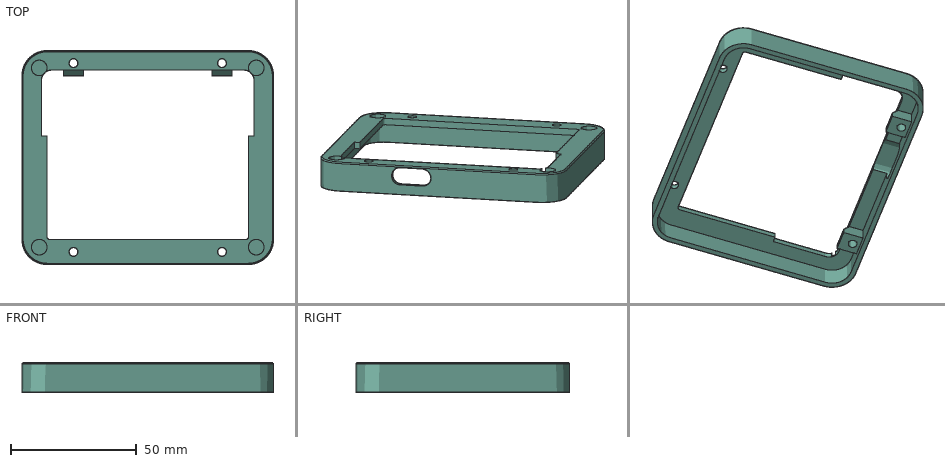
import cadquery as cq

length = 100.0
width = 85.0
height = 11.8
corner_radius = 10.0
top_chamfer = 0.5

wall = 2.0
plate_thickness = 2.6
cavity_height = height - plate_thickness

rim_narrow = 7.8
rim_wide = 10.0
shoulder_y = 8.6
front_corner_radius = 1.0
back_corner_radius = 4.0

pocket_diameter = 6.2
pocket_depth = 2.0
pocket_inset = 6.9
screw_diameter = 3.4
screw_x = 29.5
screw_inset = 5.0

tab_width = 8.0
tab_reach = 10.1
tab_tip_height = 2.4
tab_bottom = 3.8

port_x = 11.0
port_width = 16.0
port_height = 7.0
port_center_z = 7.5


def body():
    block = (
        cq.Workplane("XY")
        .rect(length, width)
        .extrude(height)
        .edges("|Z")
        .fillet(corner_radius)
        .faces(">Z")
        .chamfer(top_chamfer)
    )
    cavity = (
        cq.Workplane("XY")
        .rect(length - 2 * wall, width - 2 * wall)
        .extrude(cavity_height)
        .edges("|Z")
        .fillet(corner_radius - wall)
    )
    return block.cut(cavity)


def window():
    back_y = width / 2 - rim_narrow
    front_y = -width / 2 + rim_wide
    back_half = length / 2 - rim_narrow
    front_half = length / 2 - rim_wide
    back = (
        cq.Workplane("XY")
        .rect(2 * back_half, 2 * (back_y - shoulder_y))
        .extrude(height)
        .edges("|Z")
        .fillet(back_corner_radius)
        .translate((0, shoulder_y, 0))
        .intersect(
            cq.Workplane("XY")
            .box(length, width, height, centered=(True, False, False))
            .translate((0, shoulder_y, 0))
        )
    )
    front = (
        cq.Workplane("XY")
        .box(2 * front_half, shoulder_y - front_y, height, centered=(True, False, False))
        .translate((0, front_y, 0))
        .edges("|Z and <Y")
        .fillet(front_corner_radius)
    )
    return back.union(front)


def plate_holes(x, y, diameter, depth):
    return (
        cq.Workplane("XY")
        .workplane(offset=height - depth)
        .rect(2 * x, 2 * y, forConstruction=True)
        .vertices()
        .circle(diameter / 2)
        .extrude(depth)
    )


def snap_tab(x):
    root_y = width / 2 - wall
    tip_y = width / 2 - tab_reach
    tip_top = tab_bottom + tab_tip_height
    return (
        cq.Workplane("YZ")
        .moveTo(root_y, tab_bottom)
        .lineTo(tip_y, tab_bottom)
        .lineTo(tip_y, tip_top)
        .lineTo(width / 2 - rim_narrow, cavity_height)
        .lineTo(root_y, cavity_height)
        .close()
        .extrude(tab_width / 2, both=True)
        .translate((x, 0, 0))
    )


def cable_port():
    return (
        cq.Workplane("XZ", origin=(port_x, width / 2, port_center_z))
        .slot2D(port_width, port_height)
        .extrude(rim_wide)
    )


result = body().cut(window()).cut(cable_port())
for side in (-1, 1):
    result = result.union(snap_tab(side * screw_x))

result = result.cut(plate_holes(screw_x, width / 2 - screw_inset, screw_diameter, height))
result = result.cut(
    plate_holes(length / 2 - pocket_inset, width / 2 - pocket_inset, pocket_diameter, pocket_depth)
)